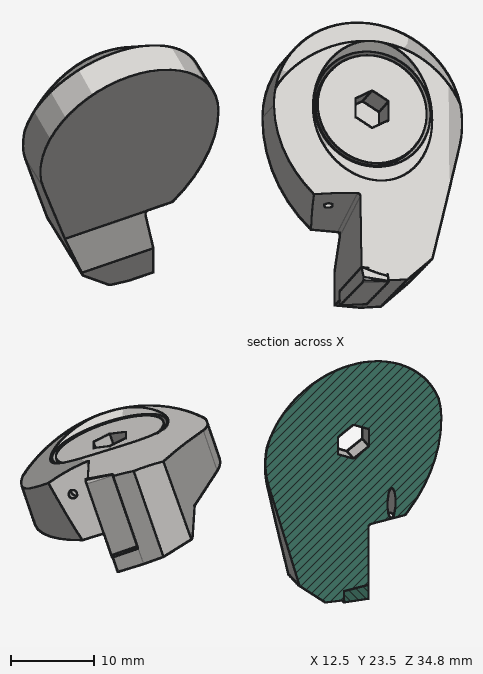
import cadquery as cq
import math


head_radius = 11.75
flank_radius = 18.2
flank_end_z = -14.6
arm_tangent_angle = 15.0
arm_length_z = -24.32

seat_y = 2.0
corner_outer = (-7.23, -18.6)
corner_inner = (-3.75, -21.92)
end_face_inner = (-1.25, -22.3)
relief_angle = -1.5
relief_pivot_x = -9.03

front_limit = -10.42
foot_depth = 2.5
foot_start_z = -13.6
foot_full_z = -17.65

crown_radius = 23.97
crown_x = -8.1
crown_tilt = 3.15
chamfer_reach = 17.0
chamfer_drop = 1.05

boss_radius = 13.6 / 2
boss_x = -6.77
groove_x = -5.9
step_radius = 7.25
step_x = -6.77
recess_flare = 1.26
recess_mouth_x = -11.1
hex_flats = 4.1
hex_depth = 4.17

ledge_slope = math.radians(14.0)
notch_fillet = 0.35
coolant_diameter = 1.0
coolant_depth = 4.17
coolant_x = -5.45
coolant_y = 5.07

insert_inner_y = -1.25
insert_top_z = -20.9
insert_back_x = 0.38

margin = 34.75


def head_and_arm():
    angle = math.radians(arm_tangent_angle)
    tangent_y = -head_radius * math.cos(angle)
    tangent_z = -head_radius * math.sin(angle)
    arm_end_y = tangent_y + (tangent_z - arm_length_z) * math.tan(angle)
    flank_centre_y = head_radius - flank_radius

    def flank_point(z):
        return flank_centre_y + math.sqrt(flank_radius**2 - z**2), z

    outline = (
        cq.Workplane("YZ", origin=(front_limit, 0, 0))
        .moveTo(tangent_y, tangent_z)
        .threePointArc((0, head_radius), (head_radius, 0))
        .threePointArc(flank_point(flank_end_z / 2), flank_point(flank_end_z))
        .lineTo(seat_y, flank_end_z)
        .lineTo(seat_y, arm_length_z)
        .lineTo(arm_end_y, arm_length_z)
        .close()
    )
    return outline.extrude(foot_depth - front_limit)


def side_profile():
    """Flat back, stepping out to the foot along a slope."""
    return (
        cq.Workplane("XZ", origin=(0, margin, 0))
        .polyline([
            (front_limit, margin), (0, margin), (0, foot_start_z),
            (foot_depth, foot_full_z), (foot_depth, -margin), (front_limit, -margin),
        ])
        .close()
        .extrude(2 * margin)
    )


def end_envelope():
    """Everything above the two relieved faces at the end of the arm."""
    run_y = corner_outer[0] - corner_inner[0]
    rise_z = corner_outer[1] - corner_inner[1]
    reach = margin / abs(run_y)
    far_corner = (corner_inner[0] + reach * run_y, corner_inner[1] + reach * rise_z)
    envelope = (
        cq.Workplane("YZ", origin=(-margin, 0, 0))
        .polyline([
            far_corner, corner_inner, end_face_inner, (margin, end_face_inner[1]),
            (margin, margin), (far_corner[0], margin),
        ])
        .close()
        .extrude(2 * margin)
    )
    pivot = (relief_pivot_x, 0, end_face_inner[1])
    return envelope.rotate(pivot, (pivot[0], 1, pivot[2]), relief_angle)


def tilt_with_crown(shape):
    return shape.rotate((crown_x, 0, 0), (crown_x, 1, 0), crown_tilt)


def crown():
    cylinder = (
        cq.Workplane("XY", origin=(crown_x + crown_radius, 0, -margin))
        .circle(crown_radius)
        .extrude(2 * margin)
    )
    return tilt_with_crown(cylinder)


def chamfer_cutter():
    """Upper half of the space outside a 45 degree cone."""
    outside = (
        cq.Workplane("XY")
        .polyline([(-chamfer_reach, 0), (0, chamfer_reach), (0, margin), (-margin, margin), (-margin, 0)])
        .close()
        .revolve(360, (0, 0), (1, 0))
        .translate((0, 0, -chamfer_drop))
    )
    upper_half = cq.Workplane("XY").box(4 * margin, 4 * margin, 2 * margin, centered=(True, True, False))
    return outside.intersect(upper_half)


def recess():
    """Flared recess that leaves a flat boss ringed by a narrow groove."""
    mouth_radius = step_radius + recess_flare * (step_x - recess_mouth_x)
    return (
        cq.Workplane("XY")
        .polyline([
            (boss_x, 0), (boss_x, boss_radius), (groove_x, boss_radius), (step_x, step_radius),
            (recess_mouth_x, mouth_radius), (recess_mouth_x, 0),
        ])
        .close()
        .revolve(360, (0, 0), (1, 0))
    )


def hex_socket():
    corner_diameter = hex_flats / math.cos(math.radians(30))
    return (
        cq.Workplane("YZ", origin=(boss_x, 0, 0))
        .transformed(rotate=(0, 0, 90))
        .polygon(6, corner_diameter)
        .extrude(hex_depth)
    )


def ledge_z(x):
    return foot_start_z - x * math.tan(ledge_slope)


def notch():
    """Clears the space beside the arm under a sloping ledge."""
    back_x = 2 * foot_depth
    wedge = (
        cq.Workplane("XZ", origin=(0, margin, 0))
        .polyline([
            (-margin, ledge_z(-margin)), (back_x, ledge_z(back_x)),
            (back_x, -margin), (-margin, -margin),
        ])
        .close()
        .extrude(margin - seat_y)
    )
    return wedge.faces("<Y").edges("not(|X or |Z)").fillet(notch_fillet)


def coolant_hole():
    mouth = cq.Vector(coolant_x, coolant_y, ledge_z(coolant_x))
    into_ledge = cq.Vector(math.sin(ledge_slope), 0, math.cos(ledge_slope))
    return cq.Workplane(cq.Solid.makeCylinder(coolant_diameter / 2, coolant_depth, mouth, into_ledge))


def make_insert():
    """Insert tapering from its cutting end at the notch wall to its inner end."""
    top_back_corner = (insert_back_x, insert_top_z)
    cutting_end = [
        (-9.17, insert_top_z), (-10.0, -22.45), (-10.0, -22.85), (-9.55, -23.0),
        (0, -22.75), (insert_back_x, -22.5), top_back_corner,
    ]
    inner_end = [
        (-8.82, insert_top_z), (-9.62, -22.5), (-9.6, -22.58), (-9.45, -22.6),
        (0, -22.37), (insert_back_x, -22.2), top_back_corner,
    ]
    return (
        cq.Workplane("XZ", origin=(0, seat_y, 0))
        .polyline(cutting_end)
        .close()
        .workplane(offset=seat_y - insert_inner_y)
        .polyline(inner_end)
        .close()
        .loft(ruled=True)
    )


def make_holder(insert):
    body = head_and_arm().intersect(side_profile()).intersect(end_envelope()).intersect(crown())
    body = body.cut(chamfer_cutter()).cut(recess()).cut(hex_socket())
    return body.cut(notch()).cut(coolant_hole()).cut(insert)


insert = make_insert()
holder = make_holder(insert)

result = cq.Compound.makeCompound([holder.solids().val(), insert.val()])